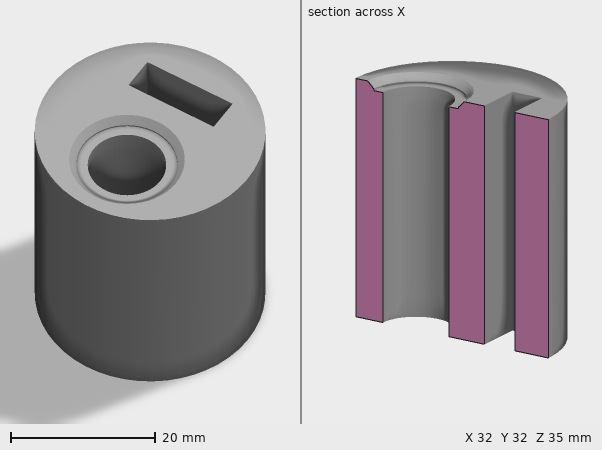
import cadquery as cq

body_diameter = 32.0
body_height = 35

slot_length = 14
slot_width = 4.9
slot_center_y = 7.88

bore_diameter = 10.9
bore_center_y = -6.0
seat_diameter = 14
lead_in_width = 1.0
lead_in_depth = 1.0
seat_wall_height = 0.2
seat_depth = lead_in_depth + seat_wall_height


def make_body():
    return cq.Workplane("XY").circle(body_diameter / 2).extrude(body_height)


def make_slot():
    return (
        cq.Workplane("XY")
        .center(0, slot_center_y)
        .rect(slot_length, slot_width)
        .extrude(body_height)
    )


def make_stepped_bore():
    """Revolve half of the bore section about the bore axis."""
    bore_radius = bore_diameter / 2
    seat_radius = seat_diameter / 2
    seat_floor_z = body_height - seat_depth
    return (
        cq.Workplane("XZ", origin=(0, bore_center_y, 0))
        .moveTo(0, 0)
        .lineTo(bore_radius, 0)
        .lineTo(bore_radius, seat_floor_z)
        .lineTo(seat_radius, seat_floor_z)
        .lineTo(seat_radius, body_height - lead_in_depth)
        .lineTo(seat_radius + lead_in_width, body_height)
        .lineTo(0, body_height)
        .close()
        .revolve(360, (0, 0, 0), (0, 1, 0))
    )


result = make_body().cut(make_slot()).cut(make_stepped_bore())